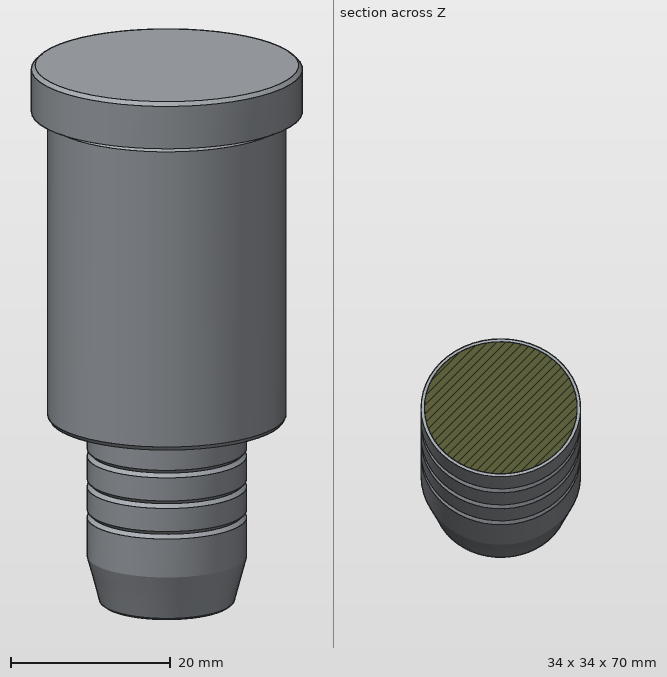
import cadquery as cq
import math

TOTAL_LENGTH = 70.0

HEAD_RADIUS = 17.0
HEAD_HEIGHT = 6.0
EDGE_CHAMFER = 0.5

BODY_RADIUS = 15.0
BODY_BOTTOM_Z = 24.0
BODY_LEAD_ANGLE = 30.0
RELIEF_DEPTH = 0.5
RELIEF_NECK = 0.5

PIN_RADIUS = 10.0
NECK_HEIGHT = 1.0
NECK_DEPTH = 0.4
GROOVE_HALF_WIDTH = 0.5
GROOVE_COUNT = 3
GROOVE_PITCH = 4.0
FIRST_GROOVE_Z = 19.5
TAPER_HEIGHT = 6.0
TAPER_ANGLE = 15.0
TIP_CHAMFER = 0.3

head_bottom_z = TOTAL_LENGTH - HEAD_HEIGHT
body_lead_inset = EDGE_CHAMFER * math.tan(math.radians(BODY_LEAD_ANGLE))
pin_top_z = BODY_BOTTOM_Z - NECK_HEIGHT
tip_radius = PIN_RADIUS - TAPER_HEIGHT * math.tan(math.radians(TAPER_ANGLE))


def head():
    """Round head with a chamfered top edge."""
    disc = cq.Workplane("XY").workplane(offset=head_bottom_z).circle(HEAD_RADIUS).extrude(HEAD_HEIGHT)
    return disc.faces(">Z").chamfer(EDGE_CHAMFER)


def revolved(profile):
    """Turn a closed (radius, z) outline around the Z axis."""
    return cq.Workplane("XZ").polyline(profile).close().revolve(360, (0, 0, 0), (0, 1, 0))


def body():
    """Cylindrical body with a narrow relief under the head and a lead-in chamfer below."""
    relief_radius = BODY_RADIUS - RELIEF_DEPTH
    relief_bottom_z = head_bottom_z - RELIEF_NECK
    return revolved([
        (0, head_bottom_z),
        (relief_radius, head_bottom_z),
        (relief_radius, relief_bottom_z),
        (BODY_RADIUS, relief_bottom_z - RELIEF_DEPTH),
        (BODY_RADIUS, BODY_BOTTOM_Z + EDGE_CHAMFER),
        (BODY_RADIUS - body_lead_inset, BODY_BOTTOM_Z),
        (0, BODY_BOTTOM_Z),
    ])


def pin():
    """Necked pin with a tapered, slightly chamfered tip."""
    neck_radius = PIN_RADIUS - NECK_DEPTH
    blank = revolved([
        (0, BODY_BOTTOM_Z),
        (neck_radius, BODY_BOTTOM_Z),
        (neck_radius, pin_top_z),
        (PIN_RADIUS, pin_top_z),
        (PIN_RADIUS, TAPER_HEIGHT),
        (tip_radius, 0),
        (0, 0),
    ])
    return blank.faces("<Z").chamfer(TIP_CHAMFER)


def groove(center_z):
    """Cutter for a V groove around the pin, as deep as half its width."""
    return revolved([
        (PIN_RADIUS, center_z - GROOVE_HALF_WIDTH),
        (PIN_RADIUS - GROOVE_HALF_WIDTH, center_z),
        (PIN_RADIUS, center_z + GROOVE_HALF_WIDTH),
    ])


result = head().union(body()).union(pin())
for index in range(GROOVE_COUNT):
    result = result.cut(groove(FIRST_GROOVE_Z - index * GROOVE_PITCH))